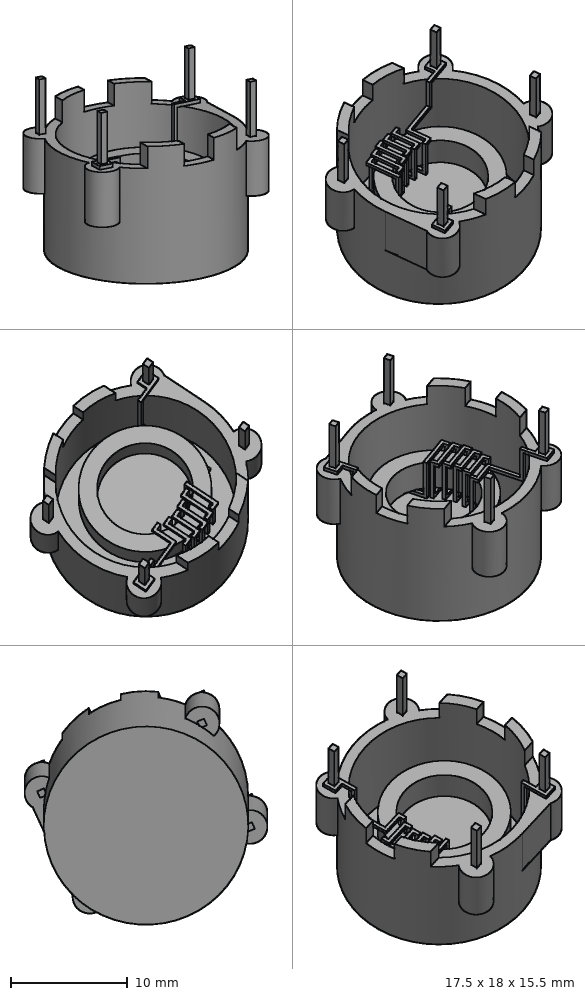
import cadquery as cq

OUTER_RADIUS = 8.75
CAVITY_RADIUS = 7.74
WALL_HEIGHT = 10.5
FLOOR_THICKNESS = 1.0
BOSS_RADIUS = 1.5
BOSS_HEIGHT = 5.0
TOOTH_HEIGHT = 2.0
TOOTH_INNER_Y = 1.5
TOOTH_OUTER_Y = 4.5

PIN_SPACING_X = 10.0
PIN_SPACING_Y = 15.01
PIN_SIDE = 0.63
PIN_HEIGHT = 5.0

CORE_OUTER_RADIUS = 5.69
CORE_INNER_RADIUS = 4.1
CORE_CENTRE = (-0.32, 0.32)
CORE_BOTTOM = 4.28
CORE_TOP = 7.13

WIRE_SIDE = 0.35
COIL_TOP = 7.5
COIL_BOTTOM = 3.87
COIL_PITCH = 0.99
FIRST_TURN_Y = 2.57
TURN_INNER_X = [2.5, 2.79, 3.11, 3.25, 3.06, 2.55]
TURN_OUTER_X = [5.47, 5.62, 5.76, 5.62, 5.42]
LEAD_Y = 5.69

pin_x = PIN_SPACING_X / 2
pin_y = PIN_SPACING_Y / 2
pin_places = [(x, y) for x in (-pin_x, pin_x) for y in (-pin_y, pin_y)]
start_pin = (-pin_x, pin_y)
end_pin = (pin_x, -pin_y)
pad_side = PIN_SIDE + 2 * WIRE_SIDE
boss_bottom = WALL_HEIGHT - BOSS_HEIGHT
lead_offset = (PIN_SIDE + WIRE_SIDE) / 2


def cylinder(radius, bottom, top, centre=(0, 0)):
    return cq.Workplane("XY", origin=(*centre, bottom)).circle(radius).extrude(top - bottom)


def make_teeth():
    width = TOOTH_OUTER_Y - TOOTH_INNER_Y
    middle = (TOOTH_OUTER_Y + TOOTH_INNER_Y) / 2
    bands = (
        cq.Workplane("XY", origin=(0, 0, WALL_HEIGHT))
        .pushPoints([(0, -middle), (0, middle)])
        .rect(2 * OUTER_RADIUS, width)
        .extrude(TOOTH_HEIGHT)
    )
    return bands.intersect(cylinder(OUTER_RADIUS, WALL_HEIGHT, WALL_HEIGHT + TOOTH_HEIGHT))


def make_cup():
    bosses = (
        cq.Workplane("XY", origin=(0, 0, boss_bottom))
        .pushPoints(pin_places)
        .circle(BOSS_RADIUS)
        .extrude(BOSS_HEIGHT)
    )
    web = (
        cq.Workplane("XY", origin=(0, 0, boss_bottom))
        .polyline([(0, 0), (0, OUTER_RADIUS), (-pin_x, OUTER_RADIUS), (-pin_x, pin_y)])
        .close()
        .extrude(BOSS_HEIGHT)
    )
    cup = cylinder(OUTER_RADIUS, 0, WALL_HEIGHT).union(bosses).union(web).union(make_teeth())
    return cup.cut(cylinder(CAVITY_RADIUS, FLOOR_THICKNESS, WALL_HEIGHT + TOOTH_HEIGHT))


def make_pin(place):
    pin = cq.Workplane("XY", origin=(*place, boss_bottom)).rect(PIN_SIDE, PIN_SIDE)
    return pin.extrude(BOSS_HEIGHT + PIN_HEIGHT)


def make_core():
    hole = cylinder(CORE_INNER_RADIUS, CORE_BOTTOM, CORE_TOP, CORE_CENTRE)
    return cylinder(CORE_OUTER_RADIUS, CORE_BOTTOM, CORE_TOP, CORE_CENTRE).cut(hole)


def winding_path():
    """Corner points of the wire from the starting pin, around the core, to the ending pin."""
    pad_level = WALL_HEIGHT + WIRE_SIDE / 2
    start_x = start_pin[0] + lead_offset
    end_x = end_pin[0] - lead_offset
    points = [
        (start_x, start_pin[1], pad_level),
        (start_x, LEAD_Y, pad_level),
        (start_x, LEAD_Y, COIL_BOTTOM),
        (TURN_INNER_X[0], LEAD_Y, COIL_BOTTOM),
        (TURN_INNER_X[0], FIRST_TURN_Y, COIL_BOTTOM),
        (TURN_INNER_X[0], FIRST_TURN_Y, COIL_TOP),
    ]
    for turn, outer_x in enumerate(TURN_OUTER_X):
        over_y = FIRST_TURN_Y - turn * COIL_PITCH
        under_y = over_y - COIL_PITCH / 2
        next_y = over_y - COIL_PITCH
        next_x = TURN_INNER_X[turn + 1]
        points += [
            (outer_x, over_y, COIL_TOP),
            (outer_x, under_y, COIL_TOP),
            (outer_x, under_y, COIL_BOTTOM),
            (next_x, under_y, COIL_BOTTOM),
            (next_x, under_y, COIL_TOP),
            (next_x, next_y, COIL_TOP),
        ]
    points += [
        (end_x, points[-1][1], COIL_TOP),
        (end_x, -LEAD_Y, COIL_TOP),
        (end_x, -LEAD_Y, pad_level),
        (end_x, end_pin[1], pad_level),
    ]
    return points


def wire_run(start, end):
    """Straight square bar between two corner points, reaching half a wire past each."""
    size = [abs(b - a) + WIRE_SIDE for a, b in zip(start, end)]
    middle = tuple((a + b) / 2 for a, b in zip(start, end))
    return cq.Workplane("XY").box(*size).translate(middle)


def make_pad(place):
    """Square of wire wrapped around a pin, lying on top of its boss."""
    return cq.Workplane("XY", origin=(*place, WALL_HEIGHT)).rect(pad_side, pad_side).extrude(WIRE_SIDE)


def make_winding():
    points = winding_path()
    wire = make_pad(start_pin).union(make_pad(end_pin))
    for start, end in zip(points, points[1:]):
        wire = wire.union(wire_run(start, end))
    return wire


def make_housing():
    """Cup and winding in one piece, with a matching hole for each pin."""
    housing = make_cup().union(make_winding())
    for place in pin_places:
        housing = housing.cut(make_pin(place))
    return housing


housing = make_housing()
core = make_core()
pins = [make_pin(place) for place in pin_places]

result = cq.Compound.makeCompound([housing.solids().val(), core.val(), *[pin.val() for pin in pins]])